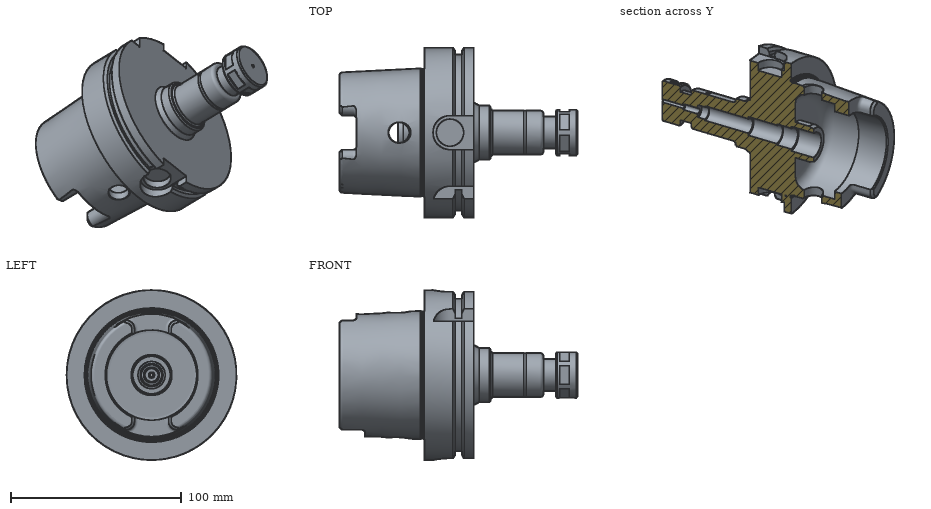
import cadquery as cq
import math

TAPER_LENGTH = 50.0
FLANGE_WIDTH = 29.0
NOSE_X = 90.0

TAPER_LARGE_R = 37.8
TAPER_SLOPE = 0.05
TAPER_END_FILLET = 2.0

RELIEF_START_X = -2.5
RELIEF_NECK_X = -1.7
RELIEF_NECK_END_X = -0.85
RELIEF_NECK_R = 37.4
RELIEF_FACE_DEPTH = 0.5
RELIEF_FACE_INNER_R = 38.2
RELIEF_FACE_OUTER_R = 39.1
RELIEF_MOUTH_R = 39.5

BORE_R = 26.5
BORE_CHAMFER = 0.75
LIP_X = -30.0
UNDERCUT_R = 31.5
CAVITY_FLOOR_X = -3.0
CAVITY_FLOOR_R = 24.8
BOSS_END_X = -15.6
BOSS_R = 12.0
BOSS_TIP_R = 11.0
BOSS_TIP_LENGTH = 3.0

BORE_STEPS = ((8.0, 0.0), (6.75, 10.0), (6.0, 30.0), (4.65, 60.0), (3.895, 65.0), (1.75, 75.0))
THROUGH_R = 0.85

DRIVE_SLOT_WIDTH = 20.0
DRIVE_SLOT_TOP_DEPTH = 10.0
DRIVE_SLOT_BOTTOM_DEPTH = 15.0
DRIVE_SLOT_FLARE_R = 5.0
DRIVE_SLOT_SHOULDER_Z = 32.2
DRIVE_SLOT_FLOOR_FILLET = 2.0
DRIVE_SLOT_MOUTH_CHAMFER = 1.6

ACCESS_HOLE_D = 12.0
ACCESS_HOLE_X = -15.0
ACCESS_SINK_START_Z = 36.55

FLANGE_R = 50.0
GROOVE_X = 20.0
GROOVE_R = 46.0
GROOVE_HALF_WIDTH = 1.95
GROOVE_MOUTH_HALF_WIDTH = 3.25
GROOVE_FLANK_R = 48.0

KEYWAY_WIDTH = 20.0
KEYWAY_CENTRE_X = 15.0
KEYWAY_FLOOR_Z = 44.0
CHIP_HOLE_D = 16.0
CHIP_HOLE_DEPTH = 5.0

NOTCH_OFFSET = 31.5
NOTCH_END_R = 10.0
NOTCH_CENTRE_X = 15.0

SHOULDER_R = 16.0
SHOULDER_FOOT_R = 17.7
SHOULDER_FOOT_X = 32.2
SHOULDER_X = 39.0
SHOULDER_CHAMFER = 1.0
BODY_R = 13.0
BODY_X = 70.0
BODY_FILLET = 2.0
BODY_GROOVE_START_X = 58.3
BODY_GROOVE_END_X = 59.9
BODY_GROOVE_DEPTH = 0.1
BODY_FOOT_CHAMFER = 1.0
STEM_R = 9.5

NUT_X = 77.1
NUT_R = 13.5
NUT_CHAMFER = 0.9
NUT_FLAT_COUNT = 6
NUT_FLAT_DISTANCE = 12.4
NUT_FLAT_START_X = 79.5
NUT_FLAT_END_X = 85.2


def revolve_profile(points):
    """Revolve an (x, radius) outline around the X axis."""
    return cq.Workplane("XY").polyline(points).close().revolve(360, (0, 0), (1, 0))


def disc(radius, start_x, end_x):
    return cq.Workplane("YZ", origin=(start_x, 0, 0)).circle(radius).extrude(end_x - start_x)


def box(x_range, y_range, z_range):
    size = [b - a for a, b in (x_range, y_range, z_range)]
    return cq.Workplane("XY").box(*size, centered=False).translate((x_range[0], y_range[0], z_range[0]))


def taper_shank():
    end_r = TAPER_LARGE_R - TAPER_SLOPE * (TAPER_LENGTH + RELIEF_START_X)
    shank = revolve_profile([
        (-TAPER_LENGTH, 0),
        (-TAPER_LENGTH, end_r),
        (RELIEF_START_X, TAPER_LARGE_R),
        (0, TAPER_LARGE_R),
        (0, 0),
    ])
    return shank.faces("<X").edges().fillet(TAPER_END_FILLET)


def corner_relief():
    """Ring-shaped groove that undercuts both the taper end and the flange face."""
    return revolve_profile([
        (RELIEF_START_X, TAPER_LARGE_R),
        (RELIEF_NECK_X, RELIEF_NECK_R),
        (RELIEF_NECK_END_X, RELIEF_NECK_R),
        (RELIEF_FACE_DEPTH, RELIEF_FACE_INNER_R),
        (RELIEF_FACE_DEPTH, RELIEF_FACE_OUTER_R),
        (0, RELIEF_MOUTH_R),
        (RELIEF_START_X, RELIEF_MOUTH_R),
    ])


def flange():
    return revolve_profile([
        (0, 0),
        (0, FLANGE_R),
        (GROOVE_X - GROOVE_MOUTH_HALF_WIDTH, FLANGE_R),
        (GROOVE_X - GROOVE_HALF_WIDTH, GROOVE_FLANK_R),
        (GROOVE_X - GROOVE_HALF_WIDTH, GROOVE_R),
        (GROOVE_X + GROOVE_HALF_WIDTH, GROOVE_R),
        (GROOVE_X + GROOVE_HALF_WIDTH, GROOVE_FLANK_R),
        (GROOVE_X + GROOVE_MOUTH_HALF_WIDTH, FLANGE_R),
        (FLANGE_WIDTH, FLANGE_R),
        (FLANGE_WIDTH, 0),
    ])


def spindle():
    """Front shoulder, cylindrical body and stem, stepping down towards the nut."""
    foot = revolve_profile([
        (FLANGE_WIDTH, 0),
        (FLANGE_WIDTH, SHOULDER_FOOT_R),
        (SHOULDER_FOOT_X, SHOULDER_R),
        (SHOULDER_FOOT_X, 0),
    ])
    shoulder = disc(SHOULDER_R, SHOULDER_FOOT_X, SHOULDER_X).faces(">X").edges().chamfer(SHOULDER_CHAMFER)
    body = disc(BODY_R, SHOULDER_X, BODY_X).faces(">X").edges().fillet(BODY_FILLET)
    groove = disc(BODY_R, BODY_GROOVE_START_X, BODY_GROOVE_END_X).cut(
        disc(BODY_R - BODY_GROOVE_DEPTH, BODY_GROOVE_START_X, BODY_GROOVE_END_X)
    )
    body = body.cut(groove)
    body_foot = revolve_profile([
        (SHOULDER_X, 0),
        (SHOULDER_X, BODY_R + BODY_FOOT_CHAMFER),
        (SHOULDER_X + BODY_FOOT_CHAMFER, BODY_R),
        (SHOULDER_X + BODY_FOOT_CHAMFER, 0),
    ])
    stem = disc(STEM_R, BODY_X, NUT_X)
    return foot.union(shoulder).union(body).union(body_foot).union(stem)


def nut():
    """Clamping nut with a ring of flats for a wrench."""
    blank = disc(NUT_R, NUT_X, NOSE_X).faces("<X or >X").edges().chamfer(NUT_CHAMFER)
    cutter = box(
        (NUT_FLAT_START_X, NUT_FLAT_END_X),
        (-NUT_R, NUT_R),
        (NUT_FLAT_DISTANCE, NUT_R),
    )
    for i in range(NUT_FLAT_COUNT):
        angle = 360 / NUT_FLAT_COUNT * (i + 0.5)
        blank = blank.cut(cutter.rotate((0, 0, 0), (1, 0, 0), angle))
    return blank


def cavity():
    """Shank cavity: chamfered mouth, clamping lip and a wider chamber with a rounded floor."""
    lip = disc(BORE_R, -TAPER_LENGTH, LIP_X)
    mouth = revolve_profile([
        (-TAPER_LENGTH, 0),
        (-TAPER_LENGTH, BORE_R + BORE_CHAMFER),
        (-TAPER_LENGTH + BORE_CHAMFER, BORE_R),
        (-TAPER_LENGTH + BORE_CHAMFER, 0),
    ])
    chamber = disc(UNDERCUT_R, LIP_X, CAVITY_FLOOR_X)
    chamber = chamber.faces(">X").edges().fillet(UNDERCUT_R - CAVITY_FLOOR_R)
    return mouth.union(lip).union(chamber)


def boss():
    """Central boss with a conical tip, standing on the cavity floor."""
    return revolve_profile([
        (BOSS_END_X, 0),
        (BOSS_END_X, BOSS_TIP_R),
        (BOSS_END_X + BOSS_TIP_LENGTH, BOSS_R),
        (CAVITY_FLOOR_X, BOSS_R),
        (CAVITY_FLOOR_X, 0),
    ])


def coolant_bore():
    bore = disc(THROUGH_R, BOSS_END_X, NOSE_X)
    for radius, end_x in BORE_STEPS:
        bore = bore.union(disc(radius, BOSS_END_X, end_x))
    return bore


def drive_slot_outline(inset, start_x):
    """Slot cross-section whose walls stand back from the nominal walls by `inset`.

    The walls run straight out from the axis, flare in a quarter round, then open to the full width.
    """
    flare_z = DRIVE_SLOT_SHOULDER_Z - DRIVE_SLOT_FLARE_R
    centre_y = DRIVE_SLOT_WIDTH / 2 + DRIVE_SLOT_FLARE_R
    radius = DRIVE_SLOT_FLARE_R - inset
    wall_y = centre_y - radius
    shoulder_z = flare_z + radius
    diagonal = radius * math.sqrt(0.5)
    return (
        cq.Workplane("YZ", origin=(start_x, 0, 0))
        .moveTo(-wall_y, 0)
        .lineTo(-wall_y, flare_z)
        .threePointArc((-centre_y + diagonal, flare_z + diagonal), (-centre_y, shoulder_z))
        .lineTo(-FLANGE_R, shoulder_z)
        .lineTo(-FLANGE_R, FLANGE_R)
        .lineTo(FLANGE_R, FLANGE_R)
        .lineTo(FLANGE_R, shoulder_z)
        .lineTo(centre_y, shoulder_z)
        .threePointArc((centre_y - diagonal, flare_z + diagonal), (wall_y, flare_z))
        .lineTo(wall_y, 0)
        .close()
    )


def drive_slot(depth):
    """Cutter for the drive slot on the +Z side, with a filleted floor and a chamfered mouth."""
    slot = drive_slot_outline(0, -TAPER_LENGTH).extrude(depth)
    slot = slot.faces(">X").edges("not(<Z or >Z or <Y or >Y)").fillet(DRIVE_SLOT_FLOOR_FILLET)
    mouth = cq.Solid.makeLoft([
        drive_slot_outline(DRIVE_SLOT_MOUTH_CHAMFER, -TAPER_LENGTH).val(),
        drive_slot_outline(0, -TAPER_LENGTH + DRIVE_SLOT_MOUTH_CHAMFER).val(),
    ], True)
    return slot.union(cq.Workplane(obj=mouth))


def keyway():
    """Round-ended keyway open to the front of the flange, with a blind hole in its floor."""
    height = FLANGE_R - KEYWAY_FLOOR_Z
    base = cq.Workplane("XY", origin=(KEYWAY_CENTRE_X, 0, KEYWAY_FLOOR_Z))
    way = base.circle(KEYWAY_WIDTH / 2).extrude(height)
    way = way.union(box(
        (KEYWAY_CENTRE_X, FLANGE_WIDTH),
        (-KEYWAY_WIDTH / 2, KEYWAY_WIDTH / 2),
        (KEYWAY_FLOOR_Z, FLANGE_R),
    ))
    return way.union(base.circle(CHIP_HOLE_D / 2).extrude(-CHIP_HOLE_DEPTH))


def notch():
    """Corner notch with one flat wall, a flat floor and a round end."""
    end = (
        cq.Workplane("XY", origin=(NOTCH_CENTRE_X, -NOTCH_OFFSET - NOTCH_END_R, NOTCH_OFFSET))
        .circle(NOTCH_END_R).extrude(FLANGE_R)
    )
    run = box(
        (NOTCH_CENTRE_X, FLANGE_WIDTH),
        (-FLANGE_R, -NOTCH_OFFSET),
        (NOTCH_OFFSET, FLANGE_R),
    )
    return run.union(end)


def access_hole():
    """Cross hole through both shank walls, countersunk on each outer side."""
    radius = ACCESS_HOLE_D / 2
    sink_depth = FLANGE_R - ACCESS_SINK_START_Z
    hole = (
        cq.Workplane("XY", origin=(ACCESS_HOLE_X, 0, -FLANGE_R))
        .circle(radius).extrude(2 * FLANGE_R)
    )
    sink = cq.Workplane(obj=cq.Solid.makeCone(
        radius, radius + sink_depth, sink_depth,
        cq.Vector(ACCESS_HOLE_X, 0, ACCESS_SINK_START_Z), cq.Vector(0, 0, 1),
    ))
    return hole.union(sink).union(sink.mirror("XY"))


shank = taper_shank().cut(cavity())
shank = shank.cut(drive_slot(DRIVE_SLOT_TOP_DEPTH)).cut(drive_slot(DRIVE_SLOT_BOTTOM_DEPTH).mirror("XY"))
shank = shank.cut(access_hole()).union(boss())
head = flange().cut(keyway()).cut(keyway().mirror("XY")).cut(notch())
result = (
    shank.union(head).cut(corner_relief())
    .union(spindle()).union(nut()).cut(coolant_bore())
)